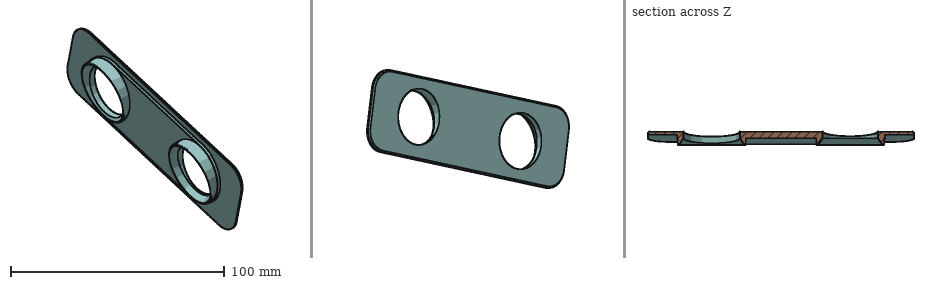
import cadquery as cq
import math

plate_length = 125.0
plate_height = 39.0
plate_thickness = 1.6
corner_radius = 10.0
back_chamfer = 0.8
tilt = 10.0

pad_thickness = 1.6
pad_radius = 16.4

collar_spacing = 65.0
collar_radius = 16.0
lip_rounding = 0.5
collar_front = 4.9

mouth_radius = 15.2
throat_radius = 13.0
throat_depth = 3.2
leaning_throat_radius = 13.2
leaning_throat_drop = 1.0

through_depth = 25.0

pad_face_rise = pad_thickness * math.sin(math.radians(tilt))


def lean(body):
    """Tip a body built upright so that its top moves back, toward +Y."""
    return body.rotate((0, 0, 0), (1, 0, 0), -tilt)


def plane_facing_back(x, y, z, slope=0.0):
    """Sketch plane whose normal points to +Y, tipped with the plate by the slope."""
    angle = math.radians(slope)
    normal = (0, math.cos(angle), -math.sin(angle))
    return cq.Plane(origin=(x, y, z), xDir=(1, 0, 0), normal=normal)


def make_plate():
    blank = cq.Workplane("XY").box(
        plate_length, plate_thickness, plate_height, centered=(True, False, True)
    )
    rounded = blank.edges("|Y").fillet(corner_radius)
    return lean(rounded.faces(">Y").chamfer(back_chamfer))


def make_pad():
    outline = cq.Workplane("XZ").slot2D(collar_spacing + 2 * pad_radius, 2 * pad_radius)
    return lean(outline.extrude(pad_thickness))


def make_collar(x):
    """Post with a rounded lip, running back until it meets the plate's front face."""
    mouth = cq.Workplane(plane_facing_back(x, -collar_front, pad_face_rise))
    post = mouth.circle(collar_radius).extrude(through_depth)
    post = post.faces("<Y").edges().fillet(lip_rounding)
    space_before_plate = lean(
        cq.Workplane("XY").box(
            2 * plate_length, through_depth, 2 * plate_height, centered=(True, False, True)
        ).translate((0, -through_depth, 0))
    )
    return post.intersect(space_before_plate)


def make_opening(x, radius, slope=0.0, drop=0.0):
    """Funnel from the mouth to the throat, then straight back through the plate."""
    mouth_plane = plane_facing_back(x, -collar_front, pad_face_rise)
    throat_plane = plane_facing_back(x, throat_depth - collar_front, pad_face_rise - drop, slope)
    mouth = cq.Wire.makeCircle(mouth_radius, mouth_plane.origin, mouth_plane.zDir)
    throat = cq.Wire.makeCircle(radius, throat_plane.origin, throat_plane.zDir)
    funnel = cq.Solid.makeLoft([mouth, throat])
    throat_bore = cq.Solid.extrudeLinear(throat, [], cq.Vector(0, through_depth, 0))
    return cq.Workplane(funnel).union(cq.Workplane(throat_bore))


left_x = -collar_spacing / 2
right_x = collar_spacing / 2

result = make_plate().union(make_pad())
for collar_x in (left_x, right_x):
    result = result.union(make_collar(collar_x))
result = result.cut(make_opening(left_x, leaning_throat_radius, tilt, leaning_throat_drop))
result = result.cut(make_opening(right_x, throat_radius))